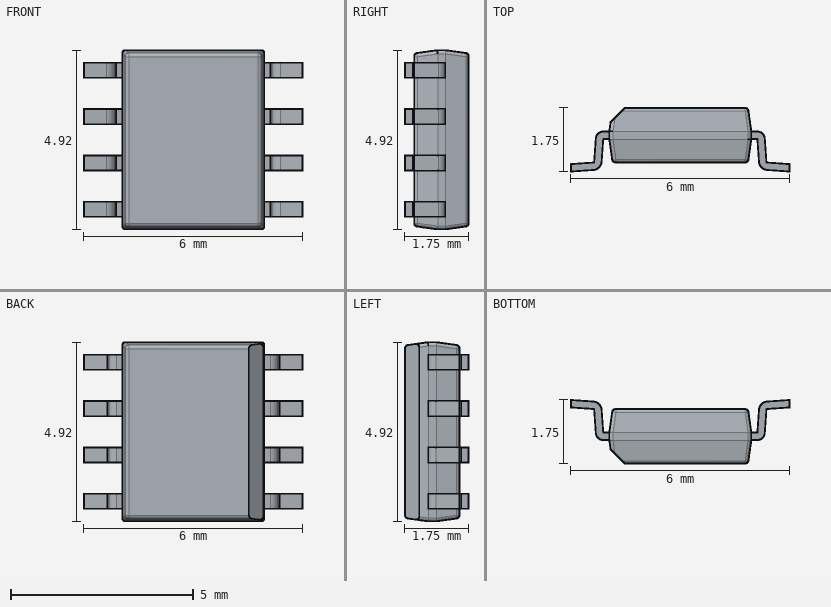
import cadquery as cq
import math


HOUSING_WIDTH = 3.9
HOUSING_LENGTH = 4.92
HOUSING_TOP = 1.75
HOUSING_HEIGHT = 1.5
DRAFT_ANGLE = 8.0
EDGE_RADIUS = 0.1
BEVEL_DROP = 0.39

LEADS_PER_SIDE = 4
LEAD_PITCH = 1.27
LEAD_WIDTH = 0.42
LEAD_THICKNESS = 0.21
LEAD_SPAN = 6.0
LEAD_SLANT = 4.0
SHOULDER_RADIUS = 0.21
FOOT_RADIUS = 0.25
SHOULDER_BEND_X = 2.11

HALF_WIDTH = HOUSING_WIDTH / 2
DRAFT_HEIGHT = (HOUSING_HEIGHT - LEAD_THICKNESS) / 2
BAND_TOP = HOUSING_TOP - DRAFT_HEIGHT
BAND_BOTTOM = BAND_TOP - LEAD_THICKNESS


def drafted_half(base_y, direction):
    """Half of the housing, tapering away from the band along +Y (1) or -Y (-1)."""
    plane = cq.Plane(origin=(0, base_y, 0), xDir=(1, 0, 0), normal=(0, direction, 0))
    return (
        cq.Workplane(plane)
        .rect(HOUSING_WIDTH, HOUSING_LENGTH)
        .extrude(DRAFT_HEIGHT, taper=DRAFT_ANGLE)
    )


def make_bevel_cutter():
    """Prism that removes the top edge on the -X side at 45 degrees."""
    draft_run = (DRAFT_HEIGHT - BEVEL_DROP) * math.tan(math.radians(DRAFT_ANGLE))
    low_x = -HALF_WIDTH + draft_run
    low_y = HOUSING_TOP - BEVEL_DROP
    reach = 2 * BEVEL_DROP
    return (
        cq.Workplane("XY")
        .moveTo(low_x - reach, low_y - reach)
        .lineTo(low_x + reach, low_y + reach)
        .lineTo(low_x - reach, low_y + reach)
        .close()
        .extrude(HOUSING_LENGTH / 2, both=True)
    )


def make_housing():
    """Straight parting band between two drafted halves, rounded and bevelled."""
    band = cq.Workplane("XY").box(HOUSING_WIDTH, LEAD_THICKNESS, HOUSING_LENGTH)
    band = band.translate((0, (BAND_TOP + BAND_BOTTOM) / 2, 0))
    block = band.union(drafted_half(BAND_TOP, 1)).union(drafted_half(BAND_BOTTOM, -1))
    rounded = block.edges("(not #Y) or >Y or <Y").fillet(EDGE_RADIUS)
    return rounded.cut(make_bevel_cutter())


def make_plus_x_lead():
    """Gull-wing lead on the +X side: sharp inner bends, round outer bends."""
    slant = math.tan(math.radians(LEAD_SLANT))
    slanted_thickness = LEAD_THICKNESS / math.cos(math.radians(LEAD_SLANT))
    tip_x = LEAD_SPAN / 2

    shoulder_outer_x = SHOULDER_BEND_X + slanted_thickness - LEAD_THICKNESS * slant

    def foot_corner(leg_x_at_band_bottom, foot_y_at_tip):
        """Point where a face of the leg meets the matching face of the foot."""
        leg_x_at_tip_level = leg_x_at_band_bottom + (BAND_BOTTOM - foot_y_at_tip) * slant
        corner_x = (leg_x_at_tip_level - tip_x * slant**2) / (1 - slant**2)
        return corner_x, foot_y_at_tip + (tip_x - corner_x) * slant

    inner_foot_corner = foot_corner(SHOULDER_BEND_X + slanted_thickness, slanted_thickness)
    outer_foot_corner = foot_corner(SHOULDER_BEND_X, 0)

    profile = (
        cq.Workplane("XY")
        .moveTo(HALF_WIDTH, BAND_BOTTOM)
        .lineTo(HALF_WIDTH, BAND_TOP)
        .lineTo(shoulder_outer_x, BAND_TOP)
        .lineTo(*inner_foot_corner)
        .lineTo(tip_x, slanted_thickness)
        .lineTo(tip_x, 0)
        .lineTo(*outer_foot_corner)
        .lineTo(SHOULDER_BEND_X, BAND_BOTTOM)
        .close()
    )
    lead = profile.extrude(LEAD_WIDTH / 2, both=True)
    shoulder_edge = cq.selectors.NearestToPointSelector((shoulder_outer_x, BAND_TOP, 0))
    foot_edge = cq.selectors.NearestToPointSelector((*outer_foot_corner, 0))
    lead = lead.edges("|Z").edges(shoulder_edge).fillet(SHOULDER_RADIUS)
    return lead.edges("|Z").edges(foot_edge).fillet(FOOT_RADIUS)


def make_lead(side, center_z):
    """One lead on the +X (1) or -X (-1) side, butting against the parting band."""
    lead = make_plus_x_lead()
    if side < 0:
        lead = lead.mirror("YZ")
    return lead.translate((0, 0, center_z))


housing = make_housing()

leads = []
for side in (-1, 1):
    for index in range(LEADS_PER_SIDE):
        center_z = (index - (LEADS_PER_SIDE - 1) / 2) * LEAD_PITCH
        leads.append(make_lead(side, center_z))

result = cq.Compound.makeCompound([housing.solids().val(), *[lead.solids().val() for lead in leads]])